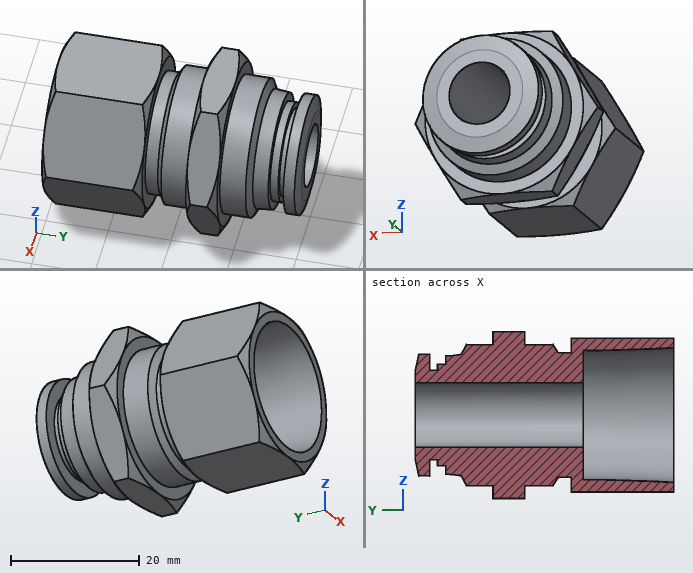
import cadquery as cq
import math

TOTAL_LENGTH = 40.3

HEX_FLATS = 23.98
HEX_LENGTH = 16.0
NUT_FLATS = 26.0
NUT_START = 23.2
NUT_LENGTH = 5.0
HEX_CHAMFER_ANGLE = 30.0

NECK_RADIUS = 9.75
BODY_START = 18.0
BODY_RADIUS = 11.05
BODY_END = 33.13
BODY_CHAMFER = 0.8
COLLAR_BASE_RADIUS = 9.5
COLLAR_TOP_RADIUS = 9.25
COLLAR_END = 35.55
STEP_RADIUS = 7.95
STEP_END = 36.85
STEM_RADIUS = 7.0
CAP_START = 38.0
CAP_RADIUS = 9.5
CAP_FACE_RADIUS = 7.05
CAP_BEVEL = 0.52

SOCKET_MOUTH_RADIUS = 10.48
SOCKET_END_RADIUS = 10.05
SOCKET_DEPTH = 14.1
BORE_RADIUS = 5.0


def revolve_profile(points):
    """Revolve a closed (radius, Y) outline about the Y axis."""
    return cq.Workplane("XY").polyline(points).close().revolve(360, (0, 0, 0), (0, 1, 0))


def chamfered_hexagon(flats, start, length):
    """Hexagonal prism along Y whose corners are turned off conically at both ends."""
    corner_radius = flats / 2 / math.cos(math.radians(30))
    end = start + length
    prism = (
        cq.Workplane("XZ", origin=(0, end, 0))
        .polygon(6, 2 * corner_radius)
        .extrude(length)
    )
    face_radius = flats / 2
    drop = (corner_radius - face_radius) * math.tan(math.radians(HEX_CHAMFER_ANGLE))
    envelope = revolve_profile([
        (0, start),
        (face_radius, start),
        (corner_radius, start + drop),
        (corner_radius, end - drop),
        (face_radius, end),
        (0, end),
    ])
    return prism.intersect(envelope)


def turned_body():
    """Stepped round body; it starts inside the hexagon so the two fuse."""
    return revolve_profile([
        (0, SOCKET_DEPTH),
        (NECK_RADIUS, SOCKET_DEPTH),
        (NECK_RADIUS, BODY_START),
        (BODY_RADIUS, BODY_START + BODY_CHAMFER),
        (BODY_RADIUS, BODY_END - BODY_CHAMFER),
        (COLLAR_BASE_RADIUS, BODY_END),
        (COLLAR_TOP_RADIUS, COLLAR_END),
        (STEP_RADIUS, COLLAR_END),
        (STEP_RADIUS, STEP_END),
        (STEM_RADIUS, STEP_END),
        (STEM_RADIUS, CAP_START),
        (CAP_RADIUS, CAP_START),
        (CAP_RADIUS, TOTAL_LENGTH - CAP_BEVEL),
        (CAP_FACE_RADIUS, TOTAL_LENGTH),
        (0, TOTAL_LENGTH),
    ])


def socket_and_bore():
    """Space removed by the tapered socket and the bore behind it."""
    return revolve_profile([
        (0, 0),
        (SOCKET_MOUTH_RADIUS, 0),
        (SOCKET_END_RADIUS, SOCKET_DEPTH),
        (BORE_RADIUS, SOCKET_DEPTH),
        (BORE_RADIUS, TOTAL_LENGTH),
        (0, TOTAL_LENGTH),
    ])


base_hexagon = chamfered_hexagon(HEX_FLATS, 0, HEX_LENGTH)
nut = chamfered_hexagon(NUT_FLATS, NUT_START, NUT_LENGTH)
result = base_hexagon.union(turned_body()).union(nut).cut(socket_and_bore())